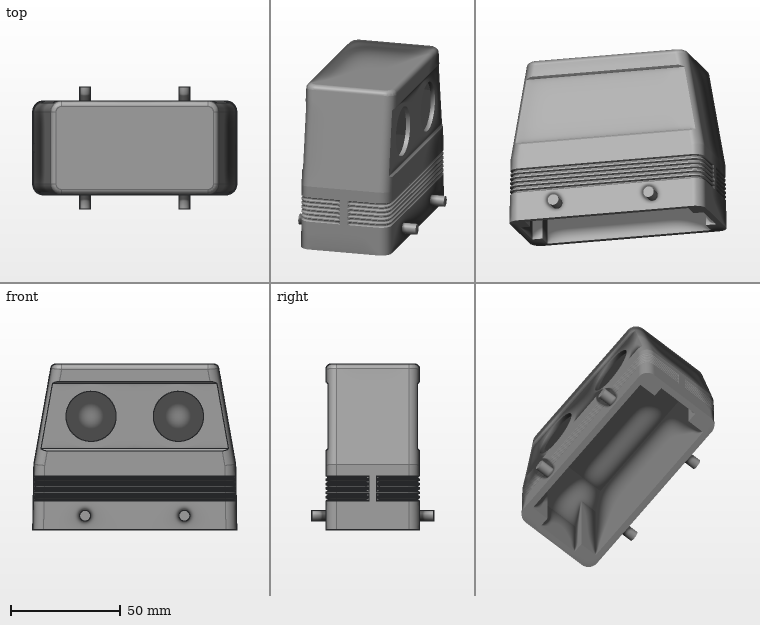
import cadquery as cq
import math

base_length = 93.5
width = 43.0
height = 76.0
slope_start = 30.0
lower_draft = 1.0
upper_draft = 10.0
corner_radius = 5.0
top_radius = 2.5
wall = 3.0

recess_depth = 1.0
recess_bottom = 36.2
recess_top = 68.0

entry_diameter = 23.0
entry_spacing = 40.0
entry_height = 52.0

pin_diameter = 5.0
pin_spacing = 45.5
pin_height = 6.5
pin_span = 56.0

groove_count = 6
groove_pitch = 2.0
groove_mouth = 1.5
groove_floor = 0.5
groove_depth = 1.0
groove_start = 13.25
web_width = 3.5
web_root_width = 6.0

post_inner_x = 39.0
post_inner_y = 10.0


def half_length(z):
    """Half the outer length of the hood at height z."""
    lower_rise = min(z, slope_start)
    upper_rise = max(z - slope_start, 0.0)
    lower_inset = lower_rise * math.tan(math.radians(lower_draft))
    upper_inset = upper_rise * math.tan(math.radians(upper_draft))
    return base_length / 2 - lower_inset - upper_inset


def tapered_block(inset, top, block_width):
    """Prism along Y whose ends follow the drafted ends, moved inward by inset."""
    levels = [0.0, slope_start, top]
    right_side = [(half_length(z) - inset, z) for z in levels]
    left_side = [(-x, z) for x, z in reversed(right_side)]
    profile = cq.Workplane("XZ").polyline(right_side + left_side).close()
    return profile.extrude(block_width / 2, both=True)


def make_body():
    block = tapered_block(0.0, height, width)
    corners = block.edges("not(|X or |Y)")
    return corners.fillet(corner_radius).faces(">Z").edges().fillet(top_radius)


def cut_side_recesses(body):
    outer_y = width / 2
    floor_y = outer_y - recess_depth
    profile = [
        (outer_y, recess_bottom),
        (floor_y, recess_bottom + recess_depth),
        (floor_y, recess_top - recess_depth),
        (outer_y, recess_top),
    ]
    recess = cq.Workplane("YZ").polyline(profile).close().extrude(base_length / 2, both=True)
    return body.cut(recess).cut(recess.mirror("XZ"))


def groove_outline(z, length, inset):
    """Rounded rectangle at height z, moved inward by inset."""
    sketch = cq.Sketch().rect(length - 2 * inset, width - 2 * inset)
    sketch = sketch.vertices().fillet(corner_radius - inset)
    return cq.Workplane("XY").workplane(offset=z).placeSketch(sketch)


def groove_ring(bottom):
    """Material removed by one trapezoidal groove that runs all the way round."""
    length = 2 * half_length(bottom + groove_mouth)
    flank = (groove_mouth - groove_floor) / 2
    flank_angle = math.degrees(math.atan2(groove_depth, flank))
    top = bottom + groove_mouth
    lower_flank = groove_outline(bottom, length, 0.0).extrude(flank, taper=flank_angle)
    upper_flank = lower_flank.mirror("XY", (0, 0, (bottom + top) / 2))
    core = groove_outline(bottom, length, groove_depth).extrude(groove_mouth)
    slab = cq.Workplane("XY").workplane(offset=bottom)
    slab = slab.rect(base_length + 2 * groove_depth, width + 2 * groove_depth).extrude(groove_mouth)
    return slab.cut(core).cut(lower_flank).cut(upper_flank)


def end_webs(bottom):
    """Webs on both ends at one groove, widening from the outer face to the groove floor."""
    outer_x = half_length(bottom + groove_mouth)
    floor_x = outer_x - groove_depth
    beyond_x = outer_x + 2 * groove_depth
    upper_side = [
        (floor_x, web_root_width / 2),
        (outer_x, web_width / 2),
        (beyond_x, web_width / 2),
    ]
    lower_side = [(x, -y) for x, y in reversed(upper_side)]
    web = cq.Workplane("XY").workplane(offset=bottom).polyline(upper_side + lower_side).close()
    web = web.extrude(groove_mouth)
    return web.union(web.mirror("YZ"))


def cut_grooves(body):
    for index in range(groove_count):
        bottom = groove_start + index * groove_pitch
        body = body.cut(groove_ring(bottom).cut(end_webs(bottom)))
    return body


def make_cavity():
    """Open-bottomed cavity, narrowed at its four corners by upright posts."""
    cavity = tapered_block(wall, height - wall, width - 2 * wall)
    post_x = base_length / 2 - post_inner_x
    post_y = width / 2 - post_inner_y
    centres = [
        (sx * (post_inner_x + post_x / 2), sy * (post_inner_y + post_y / 2))
        for sx in (-1, 1)
        for sy in (-1, 1)
    ]
    posts = cq.Workplane("XY").pushPoints(centres).rect(post_x, post_y).extrude(height)
    return cavity.cut(posts)


def make_entries():
    centres = [(-entry_spacing / 2, entry_height), (entry_spacing / 2, entry_height)]
    return cq.Workplane("XZ").pushPoints(centres).circle(entry_diameter / 2).extrude(width / 2)


def make_pins():
    """Pins on both sides, each rooted at the inner face of its wall."""
    centres = [(-pin_spacing / 2, pin_height), (pin_spacing / 2, pin_height)]
    inner_y = width / 2 - wall
    pins = cq.Workplane("XZ", origin=(0, -inner_y, 0)).pushPoints(centres)
    pins = pins.circle(pin_diameter / 2).extrude(pin_span / 2 - inner_y)
    return pins.union(pins.mirror("XZ"))


hood = make_body()
hood = cut_side_recesses(hood)
hood = cut_grooves(hood)
hood = hood.cut(make_cavity()).cut(make_entries())
result = hood.union(make_pins())